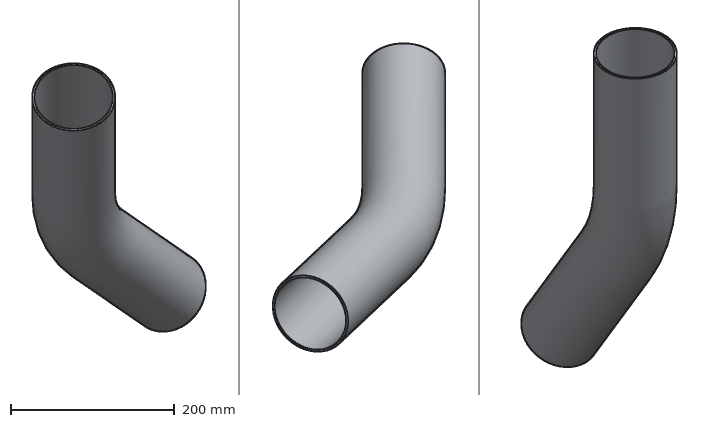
import cadquery as cq
import math

overall_height = 531.5
outer_diameter = 101.5
inner_diameter = 95.5
leg_length = 202.5
bend_angle = 30.0

outer_radius = outer_diameter / 2
sine = math.sin(math.radians(bend_angle))
cosine = math.cos(math.radians(bend_angle))
legs_height = leg_length * (1 + cosine)
tilted_end_height = outer_radius * sine
bend_radius = (overall_height - legs_height - tilted_end_height) / sine


def bend_point(angle):
    """Point (y, z) on the bend centreline, measured by angle from its upper end."""
    turn = math.radians(angle)
    return (bend_radius * (1 - math.cos(turn)), -leg_length - bend_radius * math.sin(turn))


bend_end = bend_point(bend_angle)
lower_end = (bend_end[0] + leg_length * sine, bend_end[1] - leg_length * cosine)
centreline = (
    cq.Workplane("YZ")
    .moveTo(0, 0)
    .lineTo(*bend_point(0))
    .threePointArc(bend_point(bend_angle / 2), bend_end)
    .lineTo(*lower_end)
)

result = (
    cq.Workplane("XY")
    .circle(outer_radius)
    .circle(inner_diameter / 2)
    .sweep(centreline)
)